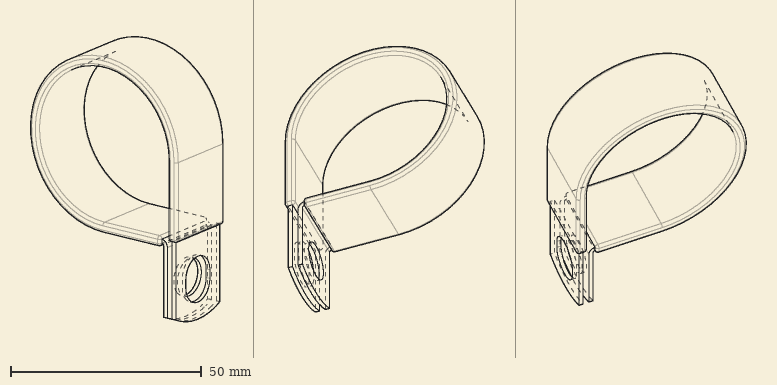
import cadquery as cq
import math


bore_radius = 21.425
strap_thickness = 1.22
strap_width = 19.05
cushion_wall = 0.794
cushion_width = 20.64
tab_gap = 1.59
bend_inner_radius = 0.79
tab_bottom_z = -46.025
tab_tip_radius = 21.0
hole_diameter = 10.32
slot_length = 12.7
hole_center_z = -34.93
cushion_foot_end_x = 18.85

strap_inner_radius = bore_radius + cushion_wall
strap_outer_radius = strap_inner_radius + strap_thickness
cushion_outer_radius = strap_outer_radius + cushion_wall

cushion_leg_end_z = -(bore_radius + cushion_wall)

bent_tab_outer_x = strap_inner_radius - tab_gap
bent_tab_inner_x = bent_tab_outer_x - strap_thickness
bend_outer_radius = bend_inner_radius + strap_thickness
bend_start_x = bent_tab_outer_x - bend_outer_radius
bend_center_z = -strap_inner_radius - bend_outer_radius

DIAGONAL = math.sqrt(0.5)


def extrude_across(profile, width):
    """Extrude an XZ profile symmetrically about the Y = 0 plane."""
    return profile.extrude(width / 2, both=True)


def make_cushion():
    """Three-quarter ring with a vertical leg and a horizontal foot, all edges rounded."""
    profile = (
        cq.Workplane("XZ")
        .moveTo(cushion_outer_radius, cushion_leg_end_z)
        .lineTo(cushion_outer_radius, 0)
        .threePointArc(
            (-cushion_outer_radius * DIAGONAL, cushion_outer_radius * DIAGONAL),
            (0, -cushion_outer_radius),
        )
        .lineTo(cushion_foot_end_x, -cushion_outer_radius)
        .lineTo(cushion_foot_end_x, -bore_radius)
        .lineTo(0, -bore_radius)
        .threePointArc((-bore_radius * DIAGONAL, bore_radius * DIAGONAL), (bore_radius, 0))
        .lineTo(bore_radius, cushion_leg_end_z)
        .close()
    )
    body = extrude_across(profile, cushion_width)
    side_edges = body.faces("<Y or >Y").edges()
    end_edges = body.edges("|Y").edges(cq.selectors.BoxSelector(
        (bore_radius / 2, -cushion_width, -2 * cushion_outer_radius),
        (2 * cushion_outer_radius, cushion_width, -bore_radius / 2),
    ))
    return side_edges.add(end_edges).fillet(cushion_wall)


def make_straight_tab():
    """Strap end that runs straight down out of the vertical leg."""
    profile = (
        cq.Workplane("XZ")
        .moveTo(strap_inner_radius, tab_bottom_z)
        .lineTo(strap_outer_radius, tab_bottom_z)
        .lineTo(strap_outer_radius, 0)
        .lineTo(strap_inner_radius, 0)
        .close()
    )
    return extrude_across(profile, strap_width)


def make_bent_tab():
    """Strap end that leaves the foot and bends down beside the straight tab."""
    profile = (
        cq.Workplane("XZ")
        .moveTo(0, -strap_inner_radius)
        .lineTo(bend_start_x, -strap_inner_radius)
        .radiusArc((bent_tab_outer_x, bend_center_z), bend_outer_radius)
        .lineTo(bent_tab_outer_x, tab_bottom_z)
        .lineTo(bent_tab_inner_x, tab_bottom_z)
        .lineTo(bent_tab_inner_x, bend_center_z)
        .radiusArc((bend_start_x, -strap_outer_radius), -bend_inner_radius)
        .lineTo(0, -strap_outer_radius)
        .close()
    )
    return extrude_across(profile, strap_width)


def make_tab_outline():
    """Solid across both tabs, with the curved tip; it trims the tabs to shape."""
    half_width = strap_width / 2
    tip_rise = tab_tip_radius - math.sqrt(tab_tip_radius**2 - half_width**2)
    tip_corner_z = tab_bottom_z + tip_rise
    return (
        cq.Workplane("YZ")
        .moveTo(-half_width, 0)
        .lineTo(-half_width, tip_corner_z)
        .threePointArc((0, tab_bottom_z), (half_width, tip_corner_z))
        .lineTo(half_width, 0)
        .close()
        .extrude(cushion_outer_radius)
    )


def make_bolt_hole():
    """Round bolt hole for the bent tab."""
    return (
        cq.Workplane("YZ")
        .center(0, hole_center_z)
        .circle(hole_diameter / 2)
        .extrude(cushion_outer_radius)
    )


def make_bolt_slot():
    """Vertical adjustment slot for the straight tab, as wide as the round hole."""
    return (
        cq.Workplane("YZ")
        .center(0, hole_center_z)
        .slot2D(slot_length, hole_diameter, 90)
        .extrude(cushion_outer_radius)
    )


straight_tab = make_straight_tab().cut(make_bolt_slot())
bent_tab = make_bent_tab().cut(make_bolt_hole())
tabs = straight_tab.union(bent_tab).intersect(make_tab_outline())

result = make_cushion().union(tabs)